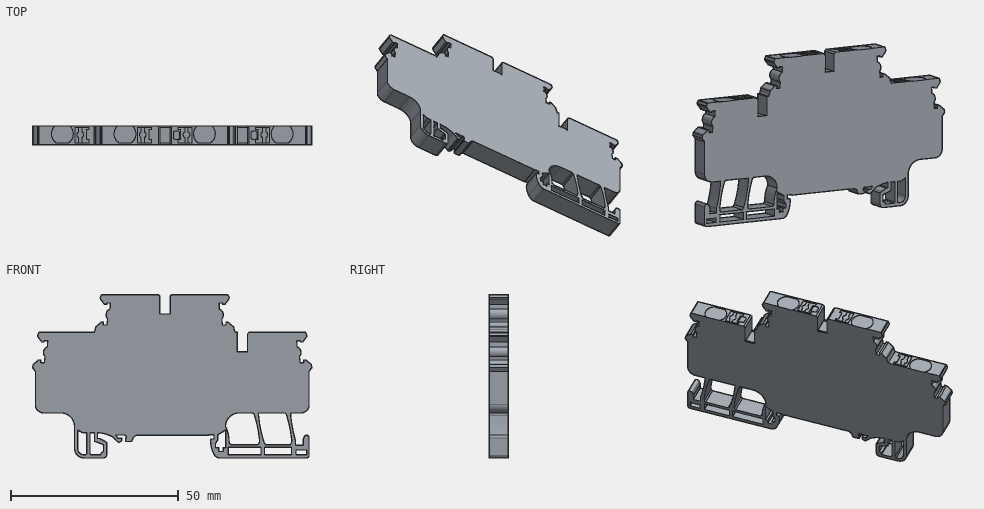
import cadquery as cq
length = 83.25
width = 5.7
height = 48.7
low_deck = 37.5
shoulder = 13.4
belly = 6.75
side_setback = 0.8
end_radius = 2.5
cove_radius = 4.0

nose_reach = 1.5
nose_drop = 10.5
nose_chin = 1.2
low_tip = length / 2 - nose_reach
top_tip_left = -21.5
top_tip_right = 17.0
catches = [
    (-low_tip, low_deck, -1),
    (top_tip_left, height, -1),
    (top_tip_right, height, 1),
    (low_tip, low_deck, 1),
]

slot_width = 3.0
slot_depth = 5.75
slot_chamfer = 0.5
top_slot_left = -3.7
low_slot_left = 19.4

left_foot_outer = -29.1
left_foot_inner = -19.5
left_foot_radius = 2.9
foot_wall = 1.0
arch_left = 15.9
strut_pitch = 9.6
web_top = 4.0
end_face = length / 2 - side_setback

recess_depth = 0.1
skin = 0.5
dial_inset = 7.4
dial_radius = 3.25
dial_offset = 0.4
clamp_near = 3.75
clamp_far = 7.9
clamp_notch = 0.75
notch_length = 3.0
clamp_slit = 5.3
slit_width = 1.0
slit_bulge = 1.0
clamp_offset = 0.2
eye_size = (1.75, 2.5)
eye_radius = 0.6
eye_reach = 8.3


def sheet():
    """An empty profile in the XZ plane, centred on the plate thickness."""
    return cq.Workplane("XZ")


def plate(profile):
    """Extrude a closed profile over the full plate thickness."""
    return profile.close().extrude(width / 2, both=True)


def polygon(points):
    return plate(sheet().polyline(points))


def window(left, right, bottom, top):
    return polygon([(left, bottom), (right, bottom), (right, top), (left, top)])


def catch_gap(tip, deck, side):
    """Space outside one marker catch; side is -1 on a left end and +1 on a right end."""

    def at(inward, drop):
        return (tip - side * inward, deck - drop)

    clear = -nose_reach - 0.8
    profile = (
        sheet()
        .moveTo(*at(clear, -0.8))
        .lineTo(*at(0.5, -0.8))
        .lineTo(*at(0.5, 0))
        .lineTo(*at(0.3, 0.2))
        .lineTo(*at(0, 0.9))
        .lineTo(*at(0.1, 1.3))
        .lineTo(*at(1.25, 2.9))
        .lineTo(*at(2.0, 2.9))
        .lineTo(*at(2.0, 2.6))
        .lineTo(*at(3.0, 2.6))
        .lineTo(*at(2.9, 4.3))
        .threePointArc(at(1.75, 6.0), at(2.2, 7.25))
        .lineTo(*at(2.2, 7.75))
        .lineTo(*at(2.0, 9.1))
        .lineTo(*at(1.0, 9.1))
        .lineTo(*at(1.0, 8.25))
        .lineTo(*at(0.3, 8.25))
        .lineTo(*at(-1.1, 9.4))
        .lineTo(*at(-1.3, 9.65))
        .lineTo(*at(-nose_reach, nose_drop))
        .lineTo(*at(clear, nose_drop))
    )
    return plate(profile)


def slot(left, deck, chamfered_left):
    """Bridge slot with a chamfered right edge, and a chamfered left edge if asked."""
    right = left + slot_width
    top_left = left - slot_chamfer if chamfered_left else left
    return polygon([
        (left, deck - slot_depth),
        (right, deck - slot_depth),
        (right, deck - slot_chamfer),
        (right + slot_chamfer, deck),
        (top_left, deck),
        (left, deck - slot_chamfer),
    ])


def body():
    step_left = top_tip_left - nose_reach
    step_right = top_tip_right + nose_reach
    nose_bottom = low_deck - nose_drop
    profile = (
        sheet()
        .moveTo(-length / 2, low_deck)
        .lineTo(step_left - 0.3, low_deck)
        .lineTo(step_left, height - nose_drop)
        .lineTo(step_left, height)
        .lineTo(step_right, height)
        .lineTo(step_right, height - nose_drop)
        .lineTo(step_right + 0.3, low_deck)
        .lineTo(length / 2, low_deck)
        .lineTo(length / 2, nose_bottom)
        .lineTo(end_face, nose_bottom - nose_chin)
        .lineTo(end_face, shoulder + end_radius)
        .radiusArc((end_face - end_radius, shoulder), end_radius)
        .lineTo(arch_left + cove_radius, shoulder)
        .radiusArc((arch_left, shoulder - cove_radius), -cove_radius)
        .lineTo(arch_left, 8.3)
        .lineTo(13.6, 6.9)
        .lineTo(10.8, 6.9)
        .lineTo(10.8, belly)
        .lineTo(-10.7, belly)
        .threePointArc((-11.4, 6.25), (-11.8, 5.4))
        .lineTo(-12.1, 4.9)
        .lineTo(-14.0, 4.9)
        .lineTo(-14.0, 5.75)
        .lineTo(-13.7, 5.9)
        .lineTo(-13.7, 6.4)
        .lineTo(-14.15, 6.8)
        .lineTo(-16.8, 6.8)
        .lineTo(-16.15, 5.9)
        .lineTo(-15.0, 5.9)
        .lineTo(-15.0, 5.2)
        .lineTo(-15.7, 4.7)
        .lineTo(-16.15, 4.75)
        .lineTo(-17.7, 6.25)
        .threePointArc((-19.65, 7.1), (-21.8, 7.5))
        .lineTo(-26.6, 7.5)
        .lineTo(-28.2, 8.3)
        .lineTo(left_foot_outer, 8.3)
        .lineTo(left_foot_outer, shoulder - cove_radius)
        .radiusArc((left_foot_outer - cove_radius, shoulder), -cove_radius)
        .lineTo(-end_face + end_radius, shoulder)
        .radiusArc((-end_face, shoulder + end_radius), end_radius)
        .lineTo(-end_face, nose_bottom - nose_chin)
        .lineTo(-length / 2, nose_bottom)
    )
    solid = plate(profile)
    for tip, deck, side in catches:
        solid = solid.cut(catch_gap(tip, deck, side))
    solid = solid.cut(slot(top_slot_left, height, True))
    return solid.cut(slot(low_slot_left, low_deck, False))


def left_foot():
    outline = (
        sheet()
        .moveTo(left_foot_outer, 10.0)
        .lineTo(left_foot_outer, left_foot_radius)
        .radiusArc((left_foot_outer + left_foot_radius, 0), -left_foot_radius)
        .lineTo(left_foot_inner - 1.0, 0)
        .radiusArc((left_foot_inner, 1.0), -1.0)
        .lineTo(left_foot_inner, 4.6)
        .lineTo(-20.0, 5.0)
        .lineTo(-21.65, 5.8)
        .lineTo(-22.2, 5.8)
        .lineTo(-22.2, 10.0)
    )
    inner = left_foot_outer + foot_wall
    inner_radius = left_foot_radius - foot_wall
    curved_window = (
        sheet()
        .moveTo(inner, 8.3)
        .lineTo(-26.6, 7.5)
        .lineTo(-25.5, 7.5)
        .lineTo(-25.5, 1.3)
        .lineTo(-25.8, foot_wall)
        .lineTo(inner + inner_radius, foot_wall)
        .radiusArc((inner, left_foot_radius), inner_radius)
    )
    hooked_window = [
        (-24.5, 7.5), (-23.2, 7.5), (-23.2, 5.0), (-20.8, 4.1), (-20.5, 3.75), (-20.5, 2.0),
        (-21.2, 1.5), (-21.2, foot_wall), (-24.15, foot_wall), (-24.5, 1.3),
    ]
    return plate(outline).cut(plate(curved_window)).cut(polygon(hooked_window))


def arched_window(left_side, right_shift):
    """Window closed on the right by a slanted strut; left_side lists arc points going down."""
    top, middle, bottom = left_side
    profile = (
        sheet()
        .moveTo(*top)
        .threePointArc(middle, bottom)
        .lineTo(bottom[0] + 0.5, web_top)
        .lineTo(25.5 + right_shift, web_top)
        .lineTo(25.9 + right_shift, 4.5)
        .lineTo(26.0 + right_shift, 5.3)
        .threePointArc((25.4 + right_shift, 9.15), (24.4 + right_shift, 13.0))
        .lineTo(24.0 + right_shift, shoulder)
        .lineTo(top[0], shoulder)
    )
    return plate(profile)


def right_foot():
    strut_right = [(25.7, shoulder - 0.7), (26.3, 8.65), (27.4, 4.6)]
    end_strut = [(x + strut_pitch, z) for x, z in strut_right]
    outline = (
        sheet()
        .moveTo(12.4, 7.5)
        .lineTo(12.4, 5.75)
        .lineTo(11.4, 5.75)
        .threePointArc((11.6, 3.3), (12.2, 1.5))
        .threePointArc((12.9, 0.5), (14.0, 0))
        .lineTo(end_face - 0.8, 0)
        .radiusArc((end_face, 0.8), -0.8)
        .lineTo(end_face, 6.0)
        .threePointArc((40.0, 6.8), (39.2, 6.2))
        .lineTo(39.0, 5.5)
        .lineTo(39.0, 3.8)
        .lineTo(36.7, 3.8)
        .lineTo(36.7, 5.3)
        .threePointArc(end_strut[1], end_strut[0])
        .lineTo(end_strut[0][0], shoulder + 0.8)
        .lineTo(arch_left, shoulder + 0.8)
        .lineTo(arch_left, 7.5)
    )
    latch_pocket = [
        (arch_left, 8.3), (13.6, 6.9), (13.6, 5.4), (12.9, 4.3), (12.9, 3.1), (13.9, 3.1),
        (13.9, 2.0), (15.15, 2.0), (15.15, 3.1), (arch_left, 3.1),
    ]
    arch_side = [(arch_left, shoulder - cove_radius), (16.5, 8.0), (17.0, 4.5)]
    solid = plate(outline)
    solid = solid.cut(polygon(latch_pocket))
    solid = solid.cut(arched_window(arch_side, 0))
    solid = solid.cut(arched_window(strut_right, strut_pitch))
    solid = solid.cut(window(16.7, 26.4, foot_wall, 3.2))
    solid = solid.cut(window(27.5, 35.5, foot_wall, 3.2))
    return solid.cut(window(36.9, 40.05, foot_wall, 2.3))


def sunk(x, y, level):
    """XY plane at the bottom of a shallow recess."""
    return cq.Workplane("XY", origin=(x, y, level - recess_depth))


def dial_recess(x, level):
    """Round recess, flattened along the front skin."""
    dial = sunk(x, dial_offset, level).circle(dial_radius).extrude(recess_depth)
    allowed = sunk(x, skin, level).rect(2 * dial_radius, width).extrude(recess_depth)
    return dial.intersect(allowed)


def clamp_recess(dial_x, level, side):
    """Notched recess with a deeper slit; side is +1 when it lies to the right of the dial."""
    mark_width = width - 2 * skin
    middle = dial_x + side * (clamp_near + clamp_far) / 2
    notch_middle = dial_x + side * (clamp_far - clamp_notch / 2)
    slit_middle = dial_x + side * clamp_slit
    slit_level = level - recess_depth
    frame = sunk(middle, 0, level).rect(clamp_far - clamp_near, mark_width).extrude(recess_depth)
    notch = sunk(notch_middle, clamp_offset, level).rect(clamp_notch, notch_length).extrude(recess_depth)
    slit = sunk(slit_middle, 0, slit_level).rect(slit_width, mark_width).extrude(recess_depth)
    bulge = sunk(slit_middle, clamp_offset, slit_level).circle(slit_bulge).extrude(recess_depth)
    return frame.cut(notch).union(slit).union(bulge)


def eye_recess(x, level):
    eye = sunk(x, 0, level).rect(*eye_size).extrude(recess_depth)
    return eye.edges("|Z").fillet(eye_radius)


def slot_floor_recess(left, deck):
    middle = left + slot_width / 2
    floor = deck - slot_depth
    return sunk(middle, 0, floor).rect(slot_width, width - 2 * skin).extrude(recess_depth)


result = body().union(left_foot()).union(right_foot())
for tip, deck, side in catches:
    dial_x = tip - side * dial_inset
    result = result.cut(dial_recess(dial_x, deck))
    result = result.cut(clamp_recess(dial_x, deck, -side))
    if side > 0:
        result = result.cut(eye_recess(dial_x - eye_reach, deck))
for left, deck in ((top_slot_left, height), (low_slot_left, low_deck)):
    result = result.cut(slot_floor_recess(left, deck))